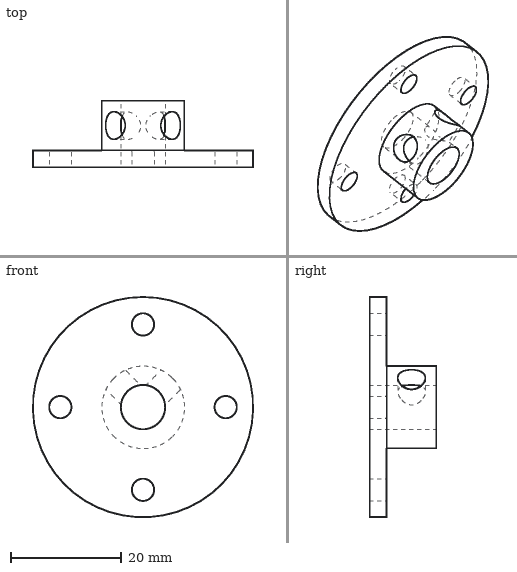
import cadquery as cq

flange_diameter = 40.0
flange_thickness = 3.1

hub_diameter = 15.0
hub_length = 9.0
bore_diameter = 8.0

mount_hole_diameter = 4.0
mount_hole_count = 4
mount_circle_radius = 15.0

screw_hole_diameter = 5.0
screw_hole_angles = (-45.0, 45.0)
screw_hole_y = flange_thickness + hub_length / 2

overall_length = flange_thickness + hub_length


def cylinder_along_y(diameter, length, x=0.0, y=0.0, z=0.0):
    """Cylinder that starts at (x, y, z) and runs along +Y."""
    return cq.Workplane(cq.Solid.makeCylinder(
        diameter / 2, length, cq.Vector(x, y, z), cq.Vector(0, 1, 0)
    ))


def make_body():
    flange = cylinder_along_y(flange_diameter, flange_thickness)
    hub = cylinder_along_y(hub_diameter, overall_length)
    return flange.union(hub)


def cut_bore(body):
    return body.cut(cylinder_along_y(bore_diameter, overall_length))


def cut_mount_holes(body):
    hole = cylinder_along_y(mount_hole_diameter, flange_thickness, z=mount_circle_radius)
    for index in range(mount_hole_count):
        angle = index * 360.0 / mount_hole_count
        body = body.cut(hole.rotate((0, 0, 0), (0, 1, 0), angle))
    return body


def cut_screw_holes(body):
    """Each hole runs from the hub axis outward through one wall only."""
    hole = cq.Workplane(cq.Solid.makeCylinder(
        screw_hole_diameter / 2, hub_diameter, cq.Vector(0, screw_hole_y, 0), cq.Vector(0, 0, 1)
    ))
    for angle in screw_hole_angles:
        body = body.cut(hole.rotate((0, 0, 0), (0, 1, 0), angle))
    return body


result = cut_screw_holes(cut_mount_holes(cut_bore(make_body())))